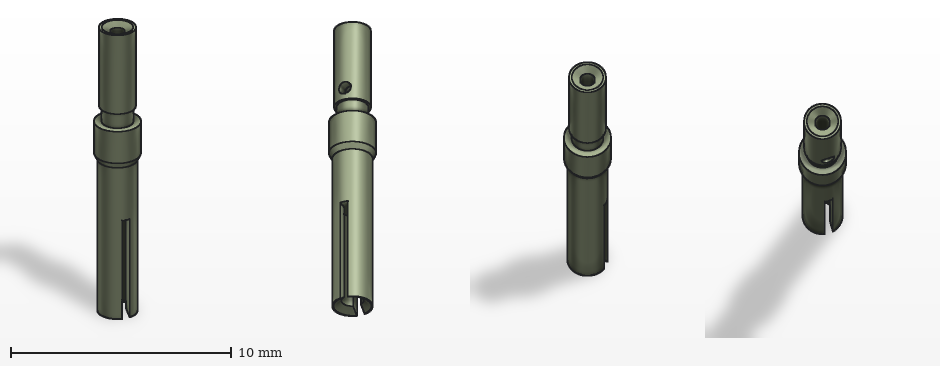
import cadquery as cq
import math

total_length = 14.4

barrel_diameter = 1.68
neck_diameter = 1.45
collar_diameter = 2.15
stem_diameter = 1.85

barrel_length = 4.0
neck_length = 0.78
collar_length = 1.61
collar_taper_length = 0.3

bore_diameter = 0.68
bore_depth = 3.89
drill_tip_angle = 118.0
funnel_diameter = 1.43
funnel_depth = 0.2

inspection_diameter = 0.6
inspection_depth_from_top = 3.4

slot_width = 0.39
slot_length = 5.0

socket_diameter = 1.01
socket_mouth_diameter = 1.73
socket_mouth_depth = 0.29

barrel_bottom = total_length - barrel_length
collar_top = barrel_bottom - neck_length
taper_top = collar_top - collar_length
taper_bottom = taper_top - collar_taper_length


def make_body():
    """Stepped solid of revolution about the Z axis."""
    profile = [
        (0, 0),
        (stem_diameter / 2, 0),
        (stem_diameter / 2, taper_bottom),
        (collar_diameter / 2, taper_top),
        (collar_diameter / 2, collar_top),
        (neck_diameter / 2, collar_top),
        (neck_diameter / 2, barrel_bottom),
        (barrel_diameter / 2, barrel_bottom),
        (barrel_diameter / 2, total_length),
        (0, total_length),
    ]
    return cq.Workplane("XZ").polyline(profile).close().revolve(360, (0, 0), (0, 1))


def make_wire_bore():
    """Drilled bore with a conical tip and a funnel-shaped mouth."""
    bore_radius = bore_diameter / 2
    bore_bottom = total_length - bore_depth
    tip_length = bore_radius / math.tan(math.radians(drill_tip_angle / 2))
    profile = [
        (0, bore_bottom - tip_length),
        (bore_radius, bore_bottom),
        (bore_radius, total_length - funnel_depth),
        (funnel_diameter / 2, total_length),
        (0, total_length),
    ]
    return cq.Workplane("XZ").polyline(profile).close().revolve(360, (0, 0), (0, 1))


def make_socket():
    """Flat-ended socket with a funnel-shaped mouth at the stem end."""
    profile = [
        (0, 0),
        (socket_mouth_diameter / 2, 0),
        (socket_diameter / 2, socket_mouth_depth),
        (socket_diameter / 2, slot_length),
        (0, slot_length),
    ]
    return cq.Workplane("XZ").polyline(profile).close().revolve(360, (0, 0), (0, 1))


def make_inspection_hole():
    """Radial hole from the axis out through the -X wall."""
    return (
        cq.Workplane("YZ")
        .center(0, total_length - inspection_depth_from_top)
        .circle(inspection_diameter / 2)
        .extrude(-barrel_diameter)
    )


def make_slot():
    """Slot along X, open at the stem end."""
    return cq.Workplane("XY").box(
        collar_diameter, slot_width, slot_length, centered=(True, True, False)
    )


result = (
    make_body()
    .cut(make_wire_bore())
    .cut(make_socket())
    .cut(make_inspection_hole())
    .cut(make_slot())
)